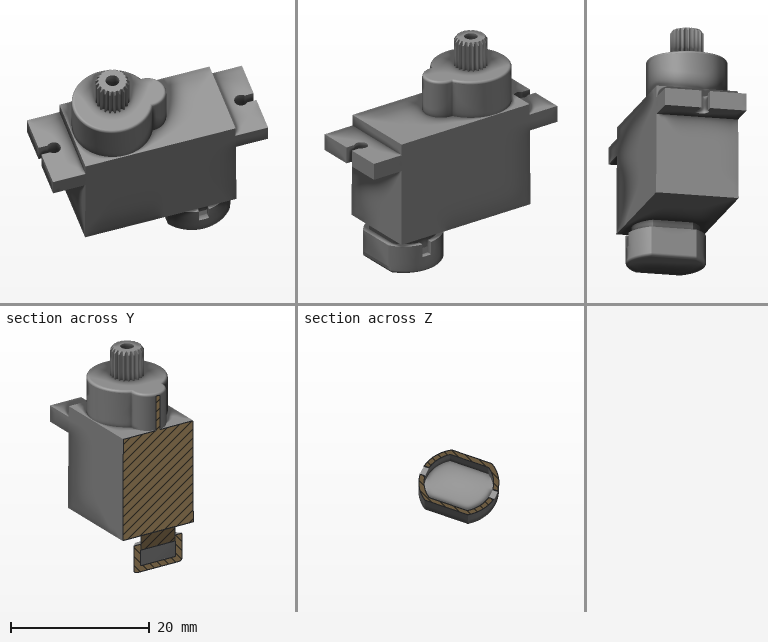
import cadquery as cq
import math


case_width = 12.3
case_length = 22.95
case_height = 16.0
case_draft_inset = 0.1

lug_span = 32.6
lug_width = case_width - 2 * case_draft_inset
lug_bottom = 11.77
lug_thickness = 2.55
lug_hole_diameter = 2.0
lug_hole_from_end = 2.12
lug_slot_width = 1.3

turret_height = 5.7
turret_radius = 5.87
turret_y = -5.3
idler_radius = 2.7
idler_y = 0.0
turret_fillet = 0.4
turret_top = case_height + turret_height

shaft_height = 4.5
shaft_tip_radius = 2.45
shaft_root_radius = 2.0
shaft_tip_chamfer = 0.35
shaft_chamfer_height = 0.5
shaft_hole_diameter = 2.0
tooth_count = 20
tooth_pitch = 360 / tooth_count
tooth_root_share = 0.7
tooth_tip_share = 0.2

motor_y = 6.68
motor_radius = 5.0
motor_flat = 4.0
motor_visible_height = 1.25
motor_insertion = 1.0

cap_height = 4.4
cap_radius = 5.8
cap_flat = 4.73
cap_floor = 1.0
cap_fillet = 0.5
cap_lip_height = 3.4
cap_lip_thickness = 0.15
cap_window_width = 1.5
cap_window_depth = 2.0
cap_top = -motor_visible_height


def flatted_disc(radius, near_flat, far_flat, bottom, top):
    """Upright cylinder on the motor axis, cut flat at -near_flat and +far_flat along Y."""
    height = top - bottom
    disc = cq.Workplane("XY").circle(radius).extrude(height)
    band = cq.Workplane("XY").box(
        2 * radius, near_flat + far_flat, height, centered=(True, False, False)
    ).translate((0, -near_flat, 0))
    return disc.intersect(band).translate((0, motor_y, bottom))


def make_turret():
    def boss(radius, y):
        return (
            cq.Workplane("XY", origin=(0, y, case_height))
            .circle(radius)
            .extrude(turret_height)
        )

    turret = boss(turret_radius, turret_y).union(boss(idler_radius, idler_y))
    return turret.faces(">Z").edges().fillet(turret_fillet)


def make_lugs():
    lugs = cq.Workplane("XY", origin=(0, 0, lug_bottom)).box(
        lug_width, lug_span, lug_thickness, centered=(True, True, False)
    )
    hole_y = lug_span / 2 - lug_hole_from_end
    for side in (-1, 1):
        hole = (
            cq.Workplane("XY", origin=(0, side * hole_y, lug_bottom))
            .circle(lug_hole_diameter / 2)
            .extrude(lug_thickness)
        )
        slot = (
            cq.Workplane("XY", origin=(0, side * (hole_y + lug_hole_from_end / 2), lug_bottom))
            .rect(lug_slot_width, lug_hole_from_end)
            .extrude(lug_thickness)
        )
        lugs = lugs.cut(hole).cut(slot)
    return lugs


def make_case():
    draft_angle = math.degrees(math.atan(case_draft_inset / case_height))
    block = (
        cq.Workplane("XY")
        .rect(case_width, case_length)
        .extrude(case_height, taper=draft_angle)
    )
    return block.union(make_lugs()).union(make_turret())


def make_shaft():
    def polar(radius, degrees):
        angle = math.radians(degrees)
        return radius * math.cos(angle), radius * math.sin(angle)

    half_root = tooth_root_share * tooth_pitch / 2
    half_tip = tooth_tip_share * tooth_pitch / 2
    outline = []
    for tooth in range(tooth_count):
        middle = (tooth + 0.5) * tooth_pitch
        outline += [
            polar(shaft_root_radius, middle - half_root),
            polar(shaft_tip_radius, middle - half_tip),
            polar(shaft_tip_radius, middle + half_tip),
            polar(shaft_root_radius, middle + half_root),
        ]
    spline = cq.Workplane("XY").polyline(outline).close().extrude(shaft_height)

    envelope = (
        cq.Workplane("XY")
        .circle(shaft_tip_radius)
        .extrude(shaft_height)
        .faces(">Z")
        .chamfer(shaft_chamfer_height, shaft_tip_chamfer)
    )
    bore = cq.Workplane("XY").circle(shaft_hole_diameter / 2).extrude(shaft_height)
    return spline.intersect(envelope).cut(bore).translate((0, turret_y, turret_top))


def make_motor():
    return flatted_disc(motor_radius, motor_flat, motor_flat, cap_top - motor_insertion, 0)


def make_cap():
    cap_bottom = cap_top - cap_height
    cup = flatted_disc(cap_radius, cap_flat, cap_flat, cap_bottom, cap_top)
    cup = cup.faces("<Z").edges().fillet(cap_fillet)

    lip = flatted_disc(
        cap_radius, cap_flat, cap_flat + cap_lip_thickness, cap_top - cap_lip_height, cap_top
    )
    cavity = flatted_disc(motor_radius, motor_flat, motor_flat, cap_bottom + cap_floor, cap_top)

    windows = cq.Workplane("XY").box(
        2 * cap_radius, cap_window_width, cap_window_depth
    ).translate((0, motor_y, cap_top - cap_window_depth / 2))
    return cup.union(lip).cut(cavity).cut(windows)


case = make_case()
shaft = make_shaft()
motor = make_motor()
cap = make_cap()

result = cq.Compound.makeCompound([case.val(), shaft.val(), motor.val(), cap.val()])